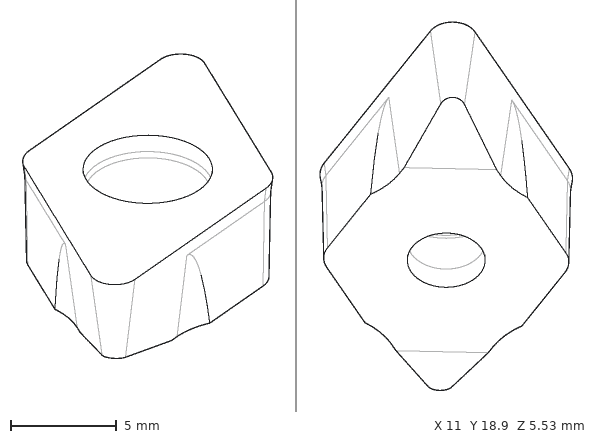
import cadquery as cq
import math

width = 11.0
thickness = 5.53
acute_angle = 55
acute_radius = 1.2
obtuse_radius = 1.6
clearance = 7

pad_clearance = 1
pad_top = 0.78
pad_length = 6.93
runout_radius = 3.92

relief_start = 6.23
relief_angle = 16

hole_radius = 3.7 / 2
counterbore_radius = 3.07
counterbore_depth = 0.9
seat_radius = 4.92
seat_fillet = 0.45

margin = 3.79

half_angle = math.radians(acute_angle / 2)
half_width = width / 2
long_half = half_width / math.sin(half_angle)
short_half = half_width / math.cos(half_angle)


def lean_inset(height, lean):
    return height * math.tan(math.radians(lean))


def rounded_rhombus(inset, depth):
    """Wire of the outline moved inward, keeping the corner centres in place."""
    scale = (half_width - inset) / half_width
    corners = [
        (0, long_half * scale),
        (-short_half * scale, 0),
        (0, -long_half * scale),
        (short_half * scale, 0),
    ]
    slab = cq.Workplane("XY", origin=(0, 0, -depth)).polyline(corners).close().extrude(0.19)
    slab = slab.edges("|Z and (>Y or <Y)").fillet(acute_radius - inset)
    slab = slab.edges("|Z and (>X or <X)").fillet(obtuse_radius - inset)
    return slab.faces("<Z").wires().val()


def tapered_body(top_depth, top_inset, lean):
    bottom_inset = top_inset + lean_inset(thickness - top_depth, lean)
    top = rounded_rhombus(top_inset, top_depth)
    bottom = rounded_rhombus(bottom_inset, thickness)
    return cq.Workplane(cq.Solid.makeLoft([top, bottom], True))


def runout_cutter():
    """Cylinder touching the leaning wall on the +X +Y side, where the pad ends."""
    along = cq.Vector(-math.sin(half_angle), math.cos(half_angle), 0)
    outward = cq.Vector(math.cos(half_angle), math.sin(half_angle), 0)
    lean = math.radians(clearance)
    down_wall = outward * -math.sin(lean) + cq.Vector(0, 0, -math.cos(lean))
    wall_normal = outward * math.cos(lean) + cq.Vector(0, 0, -math.sin(lean))
    touch = cq.Vector(short_half, 0, 0) + along * pad_length
    start = touch + wall_normal * runout_radius - down_wall * margin
    length = thickness + 2 * margin
    return cq.Workplane(cq.Plane(start, along, down_wall)).circle(runout_radius).extrude(length)


def obtuse_pad():
    """Pad around the +X corner, ending square to both sides."""
    end_x = short_half - pad_length * math.sin(half_angle)
    end_y = pad_length * math.cos(half_angle)
    meeting_x = short_half - pad_length / math.sin(half_angle)
    zone = (
        cq.Workplane("XY", origin=(0, 0, -thickness))
        .polyline([(short_half, 0), (end_x, end_y), (meeting_x, 0), (end_x, -end_y)])
        .close()
        .extrude(thickness)
    )
    pad = tapered_body(pad_top, lean_inset(pad_top, clearance), pad_clearance).intersect(zone)
    cutter = runout_cutter()
    return pad.cut(cutter).cut(cutter.mirror("XZ"))


def acute_relief():
    """Wedge removed from the underside at the +Y corner."""
    run = long_half - relief_start
    rise = run * math.tan(math.radians(relief_angle))
    return (
        cq.Workplane("YZ")
        .polyline([
            (relief_start, -thickness),
            (long_half, -thickness),
            (long_half, -thickness + rise),
        ])
        .close()
        .extrude(half_width, both=True)
    )


def screw_hole():
    """Revolved through hole; the flare and its fillet are tangent to each other."""
    flare_x = hole_radius + seat_radius
    fillet_x = counterbore_radius - seat_fillet
    sweep = math.acos((flare_x - fillet_x) / (seat_radius + seat_fillet))
    flare_z = -counterbore_depth - (seat_radius + seat_fillet) * math.sin(sweep)

    def on_flare(angle):
        return (flare_x - seat_radius * math.cos(angle), flare_z + seat_radius * math.sin(angle))

    fillet_middle = (
        fillet_x + seat_fillet * math.cos(sweep / 2),
        -counterbore_depth - seat_fillet * math.sin(sweep / 2),
    )
    return (
        cq.Workplane("XZ")
        .lineTo(counterbore_radius, 0)
        .lineTo(counterbore_radius, -counterbore_depth)
        .threePointArc(fillet_middle, on_flare(sweep))
        .threePointArc(on_flare(sweep / 2), on_flare(0))
        .lineTo(hole_radius, -thickness)
        .lineTo(0, -thickness)
        .close()
        .revolve(360, (0, 0, 0), (0, 1, 0))
    )


def opposite(shape):
    return shape.rotate((0, 0, 0), (0, 0, 1), 180)


pad = obtuse_pad()
relief = acute_relief()
insert = tapered_body(0, 0, clearance).union(pad).union(opposite(pad))
insert = insert.cut(relief).cut(opposite(relief)).cut(screw_hole())

result = insert.rotate((0, 0, 0), (0, 0, 1), acute_angle / 2)